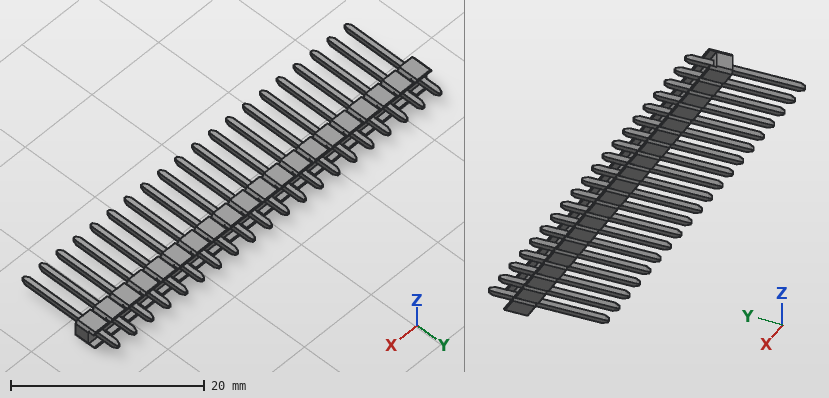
import cadquery as cq

pin_count = 20
body_length = 50.8
pitch = body_length / pin_count
body_depth = 2.6
body_height = 2.5
corner_width = 0.3
corner_drop = 0.38

channel_depth = 0.75
lip_thickness = 0.3
channel_height = body_height - 2 * lip_thickness

pin_width = 0.65
pin_offset = -0.1
pin_length = 13.6
long_side = 8.75
tip_length = 0.55
tip_width = 0.35

body_front = 0.0
body_back = body_front + body_depth
pin_front = body_front - long_side
pin_back = pin_front + pin_length


def cell_centres():
    """X positions of the cell middles, from -X to +X."""
    first = (pitch - body_length) / 2
    return [first + index * pitch for index in range(pin_count)]


def plane_facing_back(y):
    """XZ work plane at the given Y, with its normal along +Y and its local y axis along -Z."""
    return cq.Workplane(cq.Plane(origin=(0, y, 0), xDir=(1, 0, 0), normal=(0, 1, 0)))


def make_body():
    """Bevelled cells in one extruded outline, with the channel cut along the back."""
    top = body_height / 2
    shoulder = top - corner_drop
    flat_half = pitch / 2 - corner_width

    upper_edge = [(-body_length / 2, shoulder)]
    for x in cell_centres():
        upper_edge += [(x - flat_half, top), (x + flat_half, top), (x + pitch / 2, shoulder)]
    lower_edge = [(x, -z) for x, z in reversed(upper_edge)]
    body = plane_facing_back(body_front).polyline(upper_edge + lower_edge).close().extrude(body_depth)

    channel_floor = plane_facing_back(body_back - channel_depth)
    channel = channel_floor.rect(body_length, channel_height).extrude(channel_depth)
    return body.cut(channel)


def make_tip(base_y, end_y):
    """Four-sided taper from the full pin section at base_y to the blunt end at end_y."""
    return (
        plane_facing_back(base_y)
        .rect(pin_width, pin_width)
        .workplane(offset=end_y - base_y)
        .rect(tip_width, tip_width)
        .loft(combine=True)
    )


def make_pin():
    """One pin centred on X = 0, running through the body along Y."""
    shank_front = pin_front + tip_length
    shank_back = pin_back - tip_length
    shank = plane_facing_back(shank_front).rect(pin_width, pin_width).extrude(shank_back - shank_front)
    front_tip = make_tip(shank_front, pin_front)
    back_tip = make_tip(shank_back, pin_back)
    return shank.union(front_tip).union(back_tip)


result = make_body()
pin = make_pin()
for cell_x in cell_centres():
    result = result.union(pin.translate((cell_x + pin_offset, 0, 0)))